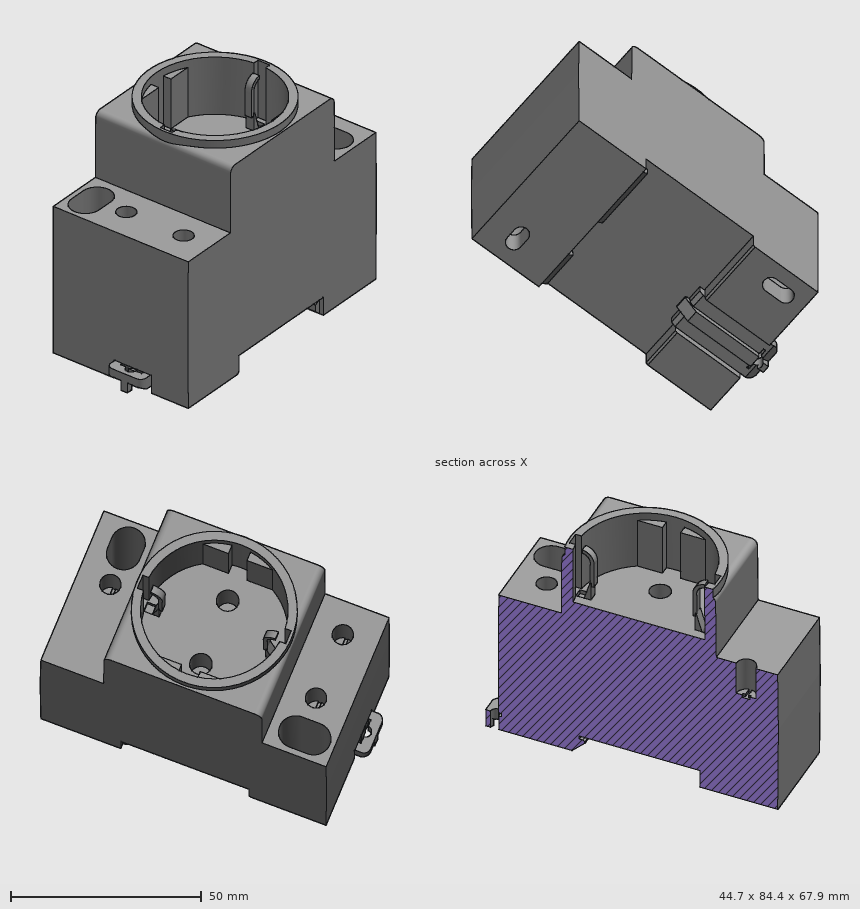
import cadquery as cq


width = 44.7
back_y = 40.3
front_y = -40.5
seam_z = 26.75
back_draft = 0.21
front_draft = 0.1
shoulder_z = 45.4
deck_z = 65.6
tower_half_length = 22.4
tower_edge_radius = 2.0
back_end_y = back_y - back_draft
front_end_y = front_y + front_draft

rail_front_y = -18.65
rail_back_y = 17.5
rail_z = 5.6
rail_chamfer = 0.6
rail_hook_inset = 1.35
rail_hook_reach = 1.6
rail_hook_bottom_z = 1.4
rail_hook_top_z = 3.5
rail_hook_root_z = 4.5

socket_top_z = 67.9
socket_outer_radius = 21.8
socket_radius = 19.3
socket_depth = 17.7
socket_floor_z = socket_top_z - socket_depth
pin_spacing = 19.0
pin_radius = 2.95
pin_depth = 10.1
guide_inner_x = 16.6
guide_gap = 5.2
earth_groove_width = 3.9
earth_groove_y = 20.9

contact_base_width = 2.7
contact_base_front_y = 15.0
contact_base_back_y = 17.0
contact_end_y = 17.6
contact_slot_back_y = 19.4
contact_slot_depth = 1.3
contact_base_height = 5.4
contact_base_z = socket_floor_z + contact_base_height
strip_width = 2.1
strip_thickness = 1.1
strip_front_y = 14.3
strip_bottom_z = contact_base_z - strip_thickness
strip_bend_z = 61.6
strip_top_z = 66.0
strip_arc_mid_y = 15.2
strip_arc_mid_z = 64.7
strip_inner_mid_y = 16.0
strip_inner_mid_z = 64.1

terminal_x = 4.0
terminal_y = 30.9
terminal_radius = 2.8
terminal_depth = 10.1
screw_groove_depth = 0.85
screw_slot_width = 0.85
screw_cross_width = 1.1
screw_cross_length = 2.2

mount_floor_z = 8.4
mount_bore_width = 9.0
mount_hole_width = 4.5
back_mount_center = (14.8, 30.8)
back_mount_bore_length = 12.15
back_mount_hole_length = 7.4
front_mount_center = (-16.3, -32.0)
front_mount_bore_length = 14.1
front_mount_hole_length = 9.45

clip_x = terminal_x
clip_width = 11.8
clip_channel_width = 12.3
clip_front_y = -44.1
clip_bottom_z = 2.0
clip_corner_radius = 1.9
clip_end_y = -17.1
clip_end_chamfer = 1.2
clip_tab_back_y = -42.0
clip_tab_front_z = 3.0
clip_tab_width = 2.2
clip_rib_width = 3.55
clip_rib_tip_y = -15.5
clip_rib_tip_bottom_z = 3.7
clip_rib_tip_top_z = 4.2
clip_rib_top_z = 4.7
clip_rib_shoulder_y = -16.1
clip_rib_foot_y = -19.25
clip_window_width = 7.0
clip_window_depth = 0.7
clip_notch_width = 3.1
clip_notch_y = -42.7


def box(x_range, y_range, z_range):
    """Axis-aligned block between the given limits."""
    size = [high - low for low, high in (x_range, y_range, z_range)]
    corner = (x_range[0], y_range[0], z_range[0])
    return cq.Workplane("XY").box(*size, centered=False).translate(corner)


def centered_range(center, length):
    return center - length / 2, center + length / 2


def cylinder(center, radius, bottom_z, top_z):
    """Upright cylinder between two heights."""
    return cq.Workplane("XY", origin=(*center, bottom_z)).circle(radius).extrude(top_z - bottom_z)


def side_prism(points, center_x, prism_width):
    """YZ outline extruded symmetrically about center_x."""
    start = cq.Workplane("YZ", origin=(center_x, 0, 0)).polyline(points).close()
    return start.extrude(prism_width / 2, both=True)


def make_housing():
    """Drafted shells meeting at the seam, with a rounded tower and a hooked rail recess."""
    outline = [
        (front_end_y, 0),
        (front_y, seam_z),
        (front_end_y, shoulder_z),
        (-tower_half_length, shoulder_z),
        (-tower_half_length + front_draft, deck_z),
        (tower_half_length - back_draft, deck_z),
        (tower_half_length, shoulder_z),
        (back_end_y, shoulder_z),
        (back_y, seam_z),
        (back_end_y, 0),
        (rail_back_y, 0),
        (rail_back_y, rail_z),
        (rail_front_y, rail_z),
        (rail_front_y, rail_chamfer),
        (rail_front_y - rail_chamfer, 0),
    ]
    housing = side_prism(outline, 0, width)
    housing = housing.edges("|X and >Z").fillet(tower_edge_radius)

    hook_outline = [
        (rail_back_y, 0),
        (rail_back_y - rail_hook_reach, rail_hook_bottom_z),
        (rail_back_y - rail_hook_reach, rail_hook_top_z),
        (rail_back_y, rail_hook_root_z),
    ]
    hook = side_prism(hook_outline, 0, width - 2 * rail_hook_inset)
    hook_gap = box(
        centered_range(clip_x, clip_channel_width),
        (rail_back_y - rail_hook_reach, rail_back_y),
        (0, rail_hook_root_z),
    )
    return housing.union(hook.cut(hook_gap))


def cut_socket(housing):
    """Raised collar, plug cavity with side guides, earth grooves and pin holes."""
    collar = cylinder((0, 0), socket_outer_radius, shoulder_z, socket_top_z)
    cavity = cylinder((0, 0), socket_radius, socket_floor_z, socket_top_z)
    groove = box(
        centered_range(0, earth_groove_width),
        (-earth_groove_y, earth_groove_y),
        (socket_floor_z, socket_top_z),
    )
    guide_span = box(
        (-socket_radius, socket_radius),
        (-socket_radius, socket_radius),
        (socket_floor_z, deck_z),
    )
    plug_space = box(
        (-guide_inner_x, guide_inner_x),
        (-socket_radius, socket_radius),
        (socket_floor_z, deck_z),
    )
    guide_notch = box(
        (-socket_radius, socket_radius),
        centered_range(0, guide_gap),
        (socket_floor_z, deck_z),
    )
    guides = cavity.intersect(guide_span).cut(plug_space).cut(guide_notch)
    body = housing.union(collar).cut(cavity.cut(guides)).cut(groove)
    for x in (-pin_spacing / 2, pin_spacing / 2):
        body = body.cut(cylinder((x, 0), pin_radius, socket_floor_z - pin_depth, socket_floor_z))
    return body


def make_contact():
    """Back earth contact: a tapered foot carrying a strip bent over at the top."""
    slot_floor_z = socket_floor_z - contact_slot_depth
    foot_outline = [
        (contact_base_front_y, slot_floor_z),
        (contact_base_front_y, contact_base_z),
        (strip_front_y + strip_thickness, contact_base_z),
        (contact_base_back_y, socket_floor_z),
        (contact_base_back_y, slot_floor_z),
    ]
    foot = side_prism(foot_outline, 0, contact_base_width)
    strip = (
        cq.Workplane("YZ")
        .moveTo(strip_front_y, strip_bottom_z)
        .lineTo(strip_front_y, strip_bend_z)
        .threePointArc((strip_arc_mid_y, strip_arc_mid_z), (contact_end_y, strip_top_z))
        .lineTo(contact_end_y, strip_top_z - strip_thickness)
        .threePointArc(
            (strip_inner_mid_y, strip_inner_mid_z),
            (strip_front_y + strip_thickness, strip_bend_z),
        )
        .lineTo(strip_front_y + strip_thickness, strip_bottom_z)
        .close()
        .extrude(strip_width / 2, both=True)
    )
    return foot.union(strip)


def add_contacts(body):
    """A pair of earth contacts, each in front of an open slot in the socket floor."""
    slot = box(
        centered_range(0, contact_base_width),
        (contact_base_back_y, contact_slot_back_y),
        (socket_floor_z - contact_slot_depth, socket_floor_z),
    )
    contact = make_contact()
    body = body.cut(slot).cut(slot.mirror("XZ"))
    return body.union(contact).union(contact.mirror("XZ"))


def cut_terminal(body, center):
    """Screw well whose floor is a slotted screw head with a short cross groove."""
    x, y = center
    head_z = shoulder_z - terminal_depth
    groove_z = (head_z - screw_groove_depth, head_z)
    well = cylinder(center, terminal_radius, head_z, shoulder_z)
    slot = box(centered_range(x, 2 * terminal_radius), centered_range(y, screw_slot_width), groove_z)
    slot = slot.intersect(cylinder(center, terminal_radius, *groove_z))
    cross = box(centered_range(x, screw_cross_width), centered_range(y, screw_cross_length), groove_z)
    return body.cut(well).cut(slot).cut(cross)


def cut_mount(body, center, bore_length, hole_length, angle):
    """Obround mounting hole through the base, with an obround counterbore."""
    hole = cq.Workplane("XY").slot2D(hole_length, mount_hole_width, angle).extrude(shoulder_z)
    bore = (
        cq.Workplane("XY", origin=(0, 0, mount_floor_z))
        .slot2D(bore_length, mount_bore_width, angle)
        .extrude(shoulder_z - mount_floor_z)
    )
    return body.cut(hole.union(bore).translate((*center, 0)))


def make_clip():
    """Sliding plate with a pull tab in front and a rail-catching rib at the back."""
    plate_outline = [
        (clip_front_y, rail_z),
        (clip_front_y, clip_tab_front_z),
        (clip_tab_back_y, clip_bottom_z),
        (clip_end_y - clip_end_chamfer, clip_bottom_z),
        (clip_end_y, clip_bottom_z + clip_end_chamfer),
        (clip_end_y, rail_z),
    ]
    plate = side_prism(plate_outline, clip_x, clip_width)
    rounded = (
        box(centered_range(clip_x, clip_width), (clip_front_y, clip_end_y), (0, rail_z))
        .edges("|Z and <Y")
        .fillet(clip_corner_radius)
    )
    tab = box(
        centered_range(clip_x, clip_tab_width),
        (clip_front_y, clip_tab_back_y),
        (0, rail_z),
    )
    rib_outline = [
        (front_end_y, 0),
        (clip_rib_foot_y, 0),
        (clip_rib_tip_y, clip_rib_tip_bottom_z),
        (clip_rib_tip_y, clip_rib_tip_top_z),
        (clip_rib_shoulder_y, clip_rib_top_z),
        (front_end_y, clip_rib_top_z),
    ]
    rib = side_prism(rib_outline, clip_x, clip_rib_width)
    window = box(
        centered_range(clip_x, clip_window_width),
        (front_y - clip_window_depth, front_y),
        (0, rail_z),
    )
    notch_radius = clip_notch_width / 2
    notch_center_y = clip_notch_y + notch_radius
    notch = cylinder((clip_x, notch_center_y), notch_radius, 0, rail_z).union(
        box(centered_range(clip_x, clip_notch_width), (notch_center_y, front_y), (0, rail_z))
    )
    return plate.intersect(rounded).union(tab).cut(notch).cut(window).union(rib)


def add_clip(body):
    """Cut the clip channel from the front end to the rail recess and fit the clip."""
    channel = box(
        centered_range(clip_x, clip_channel_width),
        (front_y, rail_front_y),
        (0, rail_z),
    )
    return body.cut(channel).union(make_clip())


body = cut_socket(make_housing())
body = add_contacts(body)
for terminal_center in (
    (terminal_x, terminal_y),
    (terminal_x - pin_spacing / 2, -terminal_y),
    (terminal_x + pin_spacing / 2, -terminal_y),
):
    body = cut_terminal(body, terminal_center)
body = cut_mount(body, back_mount_center, back_mount_bore_length, back_mount_hole_length, 0)
body = cut_mount(body, front_mount_center, front_mount_bore_length, front_mount_hole_length, 90)
result = add_clip(body)